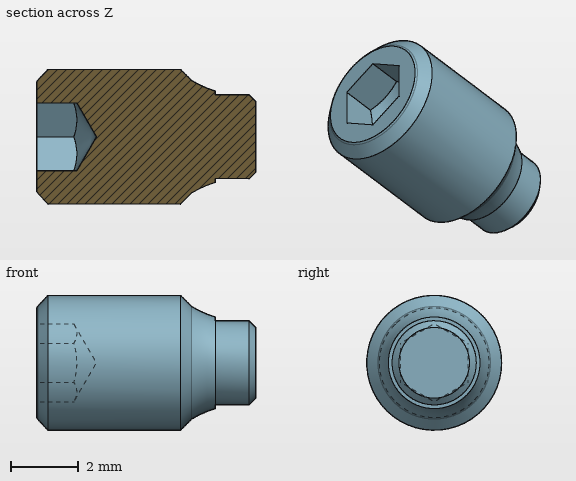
import cadquery as cq
import math

length = 6.5
body_radius = 2.0
point_radius = 1.25

face_radius = 1.625
lip_length = 0.04
lip_radius = 1.685
socket_end_chamfer = 0.34

body_end = 4.265
body_end_chamfer = 0.33
neck_start = body_end + body_end_chamfer
neck_start_radius = body_radius - body_end_chamfer
neck_end = 5.3
neck_end_radius = 1.36
neck_sag = 0.025
point_chamfer = 0.2

socket_width = 2.0
socket_corner_depth = 1.105
drill_tip_angle = 120.0
corner_radius = socket_width / 2 / math.cos(math.radians(30))
tip_length = corner_radius / math.tan(math.radians(drill_tip_angle / 2))
socket_depth = socket_corner_depth + tip_length


def make_body():
    """Revolve the half profile of the screw; the neck is a concave arc."""
    neck_middle = (
        (neck_start + neck_end) / 2,
        (neck_start_radius + neck_end_radius) / 2 - neck_sag,
    )
    return (
        cq.Workplane("XY")
        .moveTo(0, 0)
        .lineTo(0, face_radius)
        .lineTo(lip_length, lip_radius)
        .lineTo(socket_end_chamfer, body_radius)
        .lineTo(body_end, body_radius)
        .lineTo(neck_start, neck_start_radius)
        .threePointArc(neck_middle, (neck_end, neck_end_radius))
        .lineTo(neck_end, point_radius)
        .lineTo(length - point_chamfer, point_radius)
        .lineTo(length, point_radius - point_chamfer)
        .lineTo(length, 0)
        .close()
        .revolve(360, (0, 0, 0), (1, 0, 0))
    )


def make_socket():
    """Hexagonal prism, corners up and down, trimmed by the drill shape."""
    corners = []
    for index in range(6):
        angle = math.radians(90 + 60 * index)
        corners.append((corner_radius * math.cos(angle), corner_radius * math.sin(angle)))
    prism = cq.Workplane("YZ").polyline(corners).close().extrude(socket_depth)
    drill = (
        cq.Workplane("XY")
        .moveTo(0, 0)
        .lineTo(0, corner_radius)
        .lineTo(socket_corner_depth, corner_radius)
        .lineTo(socket_depth, 0)
        .close()
        .revolve(360, (0, 0, 0), (1, 0, 0))
    )
    return prism.intersect(drill)


result = make_body().cut(make_socket())